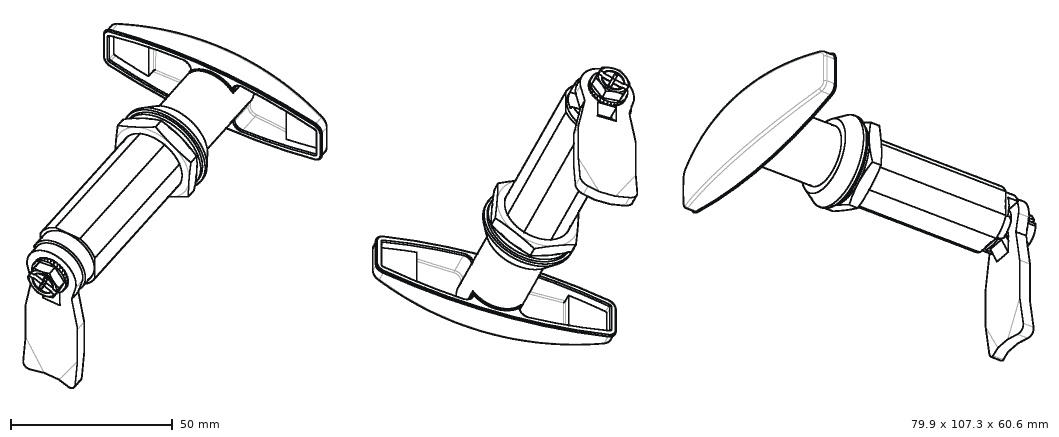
import cadquery as cq
import math

GRIP_LENGTH = 79.9
GRIP_MID_HALF_WIDTH = 11.9
GRIP_END_HALF_WIDTH = 7.3
GRIP_CORNER_RADIUS = 3.2
GRIP_RIM_Y = 27.5
GRIP_TOP_Y = 38.0
GRIP_END_HEIGHT = 4.2
GRIP_TOP_FILLET = 0.9
LIP_HEIGHT = 0.6
LIP_OVERHANG = 0.3
LIP_CHAMFER = 0.4

WALL = 2.0
ROOF = 1.7
RIM_CHAMFER = 0.4
FLOOR_FILLET = 0.5
HUB_HALF_LENGTH = 8.0
HOLLOW_INNER_RADIUS = 2.7
HOLLOW_OUTER_RADIUS = 0.6
SHALLOW_START_X = 25.2
SHALLOW_DEPTH = 3.0

SHAFT_RADIUS = 10.0
COLLAR_RADIUS = 10.3
COLLAR_HEIGHT = 0.5
SPINDLE_RADIUS = 4.8

FLANGE_TOP_RADIUS = 12.2
FLANGE_RADIUS = 15.1
FLANGE_HEIGHT = 5.9
FLANGE_EDGE = 1.1
BARREL_RADIUS = 10.9
BARREL_FLAT = 10.0
BARREL_END_Y = -55.0
STOP_RING_RADIUS = 9.8
STOP_FLOOR_Y = -56.3
STOP_LUG_Y = -57.9
STOP_RING_END_Y = -60.1
STOP_GAP_EDGE = 3.2
STOP_LUG_EDGE = 3.6
STOP_LUG_CHAMFER = 1.0

GASKET_RADIUS = 14.2
GASKET_THICKNESS = 1.1
NUT_ACROSS_FLATS = 26.9
NUT_TOP_Y = -2.1
NUT_THICKNESS = 4.5
NUT_TOP_CHAMFER = 0.9
NUT_BOTTOM_CHAMFER = 0.4
NUT_TURN = 26.6

CAM_BACK_Y = -60.4
CAM_THICKNESS = 3.9
CAM_HEAD_RADIUS = 9.0
CAM_HEAD_END_Z = -1.0
CAM_NECK_HALF_WIDTH = 7.4
CAM_NECK_Z = -7.1
CAM_HALF_WIDTH = 9.5
CAM_SHOULDER_Z = -19.0
CAM_TIP_Z = -45.1
CAM_CORNER_RADIUS = 2.7
BEND_START_Z = -33.0
BEND_HALF_WIDTH = 2.7
BEND_ANGLE = 16.0
TAB_HALF_WIDTH = 3.1
TAB_TOP_Z = -6.2
TAB_BOTTOM_Z = -12.2
TAB_REACH = 2.5
TAB_WALL = 1.3

SCREW_RADIUS = 3.0
SCREW_DEPTH = 12.9
SCREW_FLANGE_RADIUS = 6.2
SCREW_FLANGE_THICKNESS = 1.5
SCREW_HEAD_RADIUS = 5.8
SCREW_HEAD_HEIGHT = 3.5
SCREW_HEAD_TURN = 7.0
SCREW_HEAD_CHAMFER = 0.4
DISH_RADIUS = 3.8
DISH_DEPTH = 0.3
SLOT_WIDTH = 1.9
SLOT_DEPTH = 2.1
SLOT_TURN = 160.0
CROSS_WIDTH = 1.0
CROSS_LENGTH = 6.0
TOOTH_COUNT = 32
TOOTH_DEPTH = 0.8
TOOTH_WIDTH = 0.5
TOOTH_INNER_RADIUS = 5.2

CAM_FRONT_Y = CAM_BACK_Y - CAM_THICKNESS


def section(y):
    """Sketch plane across the axis at height y, with local x = X, local y = Z, normal = -Y."""
    return cq.Workplane("XZ", origin=(0, y, 0))


def cylinder(radius, y_start, y_end):
    """Cylinder on the axis, from y_start down to y_end."""
    return section(y_start).circle(radius).extrude(y_start - y_end)


def polar(radius, degrees):
    angle = math.radians(degrees)
    return (radius * math.cos(angle), radius * math.sin(angle))


def hexagon(corner_radius, turn, y_start, height):
    corners = [polar(corner_radius, turn + 60 * i) for i in range(6)]
    return section(y_start).polyline(corners).close().extrude(height)


def revolve_profile(points):
    """Revolve a closed (radius, y) outline about the Y axis."""
    return cq.Workplane("XY").polyline(points).close().revolve(360, (0, 0, 0), (0, 1, 0))



def grip_outline(plane, offset):
    """Barrel-shaped outline of the grip, moved inward by offset."""
    end = GRIP_LENGTH / 2 - offset
    mid = GRIP_MID_HALF_WIDTH - offset
    corner = GRIP_END_HALF_WIDTH - offset
    return (
        plane.moveTo(-end, -corner)
        .threePointArc((0, -mid), (end, -corner))
        .lineTo(end, corner)
        .threePointArc((0, mid), (-end, corner))
        .close()
    )


def grip_dome(inset):
    """Ball whose upper surface is the domed top of the grip, moved down by inset."""
    rise = GRIP_TOP_Y - GRIP_RIM_Y - GRIP_END_HEIGHT
    radius = ((GRIP_LENGTH / 2) ** 2 + rise ** 2) / (2 * rise)
    return cq.Workplane("XY").sphere(radius - inset).translate((0, GRIP_TOP_Y - radius, 0))


def hollow_blank(height):
    """Two rounded prisms, one each side of the hub, standing on the rim plane."""
    blank = grip_outline(section(GRIP_RIM_Y), WALL).extrude(-height)
    hub = section(GRIP_RIM_Y).rect(2 * HUB_HALF_LENGTH, 2 * GRIP_MID_HALF_WIDTH).extrude(-height)
    blank = blank.cut(hub)
    near_hub = HUB_HALF_LENGTH + WALL
    hub_zone = cq.selectors.BoxSelector(
        (-near_hub, 0, -GRIP_LENGTH), (near_hub, GRIP_LENGTH, GRIP_LENGTH))
    blank = blank.edges("|Y").edges(hub_zone).fillet(HOLLOW_INNER_RADIUS)
    return blank.edges("|Y").edges("<X or >X").fillet(HOLLOW_OUTER_RADIUS)


def grip_prism(offset, height):
    prism = grip_outline(section(GRIP_RIM_Y), offset).extrude(-height)
    return prism.edges("|Y").fillet(GRIP_CORNER_RADIUS - offset)


def make_grip():
    height = GRIP_TOP_Y - GRIP_RIM_Y
    grip = grip_prism(LIP_OVERHANG, height).intersect(grip_dome(0))
    grip = grip.faces(">Y").edges().fillet(GRIP_TOP_FILLET)
    lip = grip_prism(0, LIP_HEIGHT).faces("<Y").edges().chamfer(LIP_CHAMFER)
    grip = grip.union(lip)
    deep_zone = section(GRIP_RIM_Y).rect(2 * SHALLOW_START_X, GRIP_LENGTH).extrude(-height)
    deep = hollow_blank(height).intersect(grip_dome(ROOF)).intersect(deep_zone)
    deep = deep.faces("%SPHERE").edges().fillet(FLOOR_FILLET)
    grip = grip.cut(deep).cut(hollow_blank(SHALLOW_DEPTH))
    rim_wires = sorted(grip.faces("<Y").wires().vals(), key=lambda wire: wire.Length())
    mouth_edges = [edge for wire in rim_wires[:-1] for edge in wire.Edges()]
    return grip.newObject(mouth_edges).chamfer(RIM_CHAMFER)


def make_handle():
    shaft = cylinder(SHAFT_RADIUS, GRIP_TOP_Y, FLANGE_HEIGHT).intersect(grip_dome(ROOF / 2))
    spindle = cylinder(SPINDLE_RADIUS, FLANGE_HEIGHT, CAM_BACK_Y)
    collar = cylinder(COLLAR_RADIUS, GRIP_RIM_Y, GRIP_RIM_Y - COLLAR_HEIGHT).intersect(
        section(GRIP_RIM_Y).rect(2 * HUB_HALF_LENGTH, 2 * COLLAR_RADIUS).extrude(COLLAR_HEIGHT))
    screw_hole = cylinder(SCREW_RADIUS, CAM_BACK_Y + SCREW_DEPTH, CAM_BACK_Y)
    return make_grip().union(shaft).union(collar).union(spindle).cut(screw_hole)



def quadrant(edge, y_floor):
    """Square prism reaching from x = z = edge toward -X and -Z, from y_floor to the ring end."""
    reach = 2 * STOP_RING_RADIUS
    return (
        section(y_floor).rect(reach, reach).extrude(y_floor - STOP_RING_END_Y)
        .translate((edge - reach / 2, 0, edge - reach / 2))
    )


def stop_gap():
    """Opening in the stop ring for the cam tab, with a low lug between its two end positions."""
    low = quadrant(-STOP_LUG_EDGE, STOP_FLOOR_Y)
    lug = low.cut(quadrant(-STOP_LUG_EDGE, STOP_LUG_Y))
    lug = lug.faces("<Y").edges(">X or >Z").chamfer(STOP_LUG_CHAMFER)
    return quadrant(STOP_GAP_EDGE, STOP_FLOOR_Y).cut(lug)


def make_housing():
    flange = revolve_profile([
        (0, FLANGE_HEIGHT), (FLANGE_TOP_RADIUS, FLANGE_HEIGHT),
        (FLANGE_RADIUS, FLANGE_EDGE), (FLANGE_RADIUS, 0), (0, 0)])
    flats = section(0).rect(2 * BARREL_FLAT, 2 * BARREL_FLAT).extrude(-BARREL_END_Y)
    barrel = cylinder(BARREL_RADIUS, 0, BARREL_END_Y).intersect(flats)
    housing = flange.union(barrel).union(cylinder(STOP_RING_RADIUS, BARREL_END_Y, STOP_RING_END_Y))
    return housing.cut(stop_gap()).cut(cylinder(SPINDLE_RADIUS, FLANGE_HEIGHT, STOP_RING_END_Y))



def make_gasket():
    return section(0).circle(GASKET_RADIUS).circle(BARREL_RADIUS).extrude(GASKET_THICKNESS)


def make_nut():
    corner = NUT_ACROSS_FLATS / math.sqrt(3)
    flat = NUT_ACROSS_FLATS / 2
    bottom = NUT_TOP_Y - NUT_THICKNESS
    cone = revolve_profile([
        (0, NUT_TOP_Y), (flat, NUT_TOP_Y), (corner, NUT_TOP_Y - NUT_TOP_CHAMFER),
        (corner, bottom + NUT_BOTTOM_CHAMFER), (flat, bottom), (0, bottom)])
    nut = hexagon(corner, NUT_TURN, NUT_TOP_Y, NUT_THICKNESS).intersect(cone)
    return nut.cut(cylinder(BARREL_RADIUS, NUT_TOP_Y, bottom))



def cam_outline(y, thickness):
    head_x = math.sqrt(CAM_HEAD_RADIUS ** 2 - CAM_HEAD_END_Z ** 2)
    plate = (
        section(y).moveTo(-head_x, CAM_HEAD_END_Z)
        .threePointArc((0, CAM_HEAD_RADIUS), (head_x, CAM_HEAD_END_Z))
        .lineTo(CAM_NECK_HALF_WIDTH, CAM_NECK_Z)
        .lineTo(CAM_HALF_WIDTH, CAM_SHOULDER_Z)
        .lineTo(CAM_HALF_WIDTH, CAM_TIP_Z)
        .lineTo(-CAM_HALF_WIDTH, CAM_TIP_Z)
        .lineTo(-CAM_HALF_WIDTH, CAM_SHOULDER_Z)
        .lineTo(-CAM_NECK_HALF_WIDTH, CAM_NECK_Z)
        .close().extrude(thickness)
    )
    return plate.edges("|Y").edges("<Z").fillet(CAM_CORNER_RADIUS)


def bend_corner(cam, side):
    """Bend one lower corner of the cam forward (-Y) about its slanted bend line."""
    edge_end = cq.Vector(side * CAM_HALF_WIDTH, CAM_BACK_Y, BEND_START_Z)
    tip_end = cq.Vector(side * BEND_HALF_WIDTH, CAM_BACK_Y, CAM_TIP_Z)
    along = (tip_end - edge_end).normalized()
    outward = along.cross(cq.Vector(0, side, 0))
    plane = cq.Plane(origin=edge_end.toTuple(), xDir=outward.toTuple(), normal=along.toTuple())
    forward = 1 if plane.yDir.y < 0 else -1
    reach = 2 * CAM_HALF_WIDTH
    rise = reach * math.tan(math.radians(BEND_ANGLE))

    def slab(end_rise):
        front = forward * CAM_THICKNESS
        end = forward * end_rise
        return (
            cq.Workplane(plane).workplane(offset=-reach)
            .polyline([(0, 0), (reach, end), (reach, end + front), (0, front)])
            .close().extrude(3 * reach)
        )

    bent = slab(rise).intersect(cam_outline(CAM_BACK_Y, CAM_THICKNESS + rise))
    return cam.cut(slab(0)).union(bent)


def tab_prism(points):
    """Prism across the tab, from a (y, z) outline."""
    return cq.Workplane("YZ").polyline(points).close().extrude(TAB_HALF_WIDTH, both=True)


def make_cam():
    cam = cam_outline(CAM_BACK_Y, CAM_THICKNESS)
    for side in (-1, 1):
        cam = bend_corner(cam, side)
    tab_y = CAM_BACK_Y + TAB_REACH
    tab = tab_prism([
        (CAM_FRONT_Y, TAB_TOP_Z + TAB_WALL), (tab_y, TAB_TOP_Z + TAB_WALL),
        (tab_y, TAB_BOTTOM_Z + TAB_REACH + TAB_WALL), (CAM_BACK_Y, TAB_BOTTOM_Z),
        (CAM_FRONT_Y, TAB_BOTTOM_Z)])
    pocket = tab_prism([
        (CAM_FRONT_Y, TAB_TOP_Z), (tab_y - TAB_WALL, TAB_TOP_Z), (CAM_FRONT_Y, TAB_BOTTOM_Z)])
    return cam.union(tab).cut(pocket).cut(cylinder(SCREW_RADIUS, CAM_BACK_Y, CAM_FRONT_Y))



def make_toothed_flange(head_y):
    """Screw flange with saw-tooth grooves in the face that bites into the cam."""
    flange = cylinder(SCREW_FLANGE_RADIUS, CAM_FRONT_Y, head_y)
    half = TOOTH_WIDTH / 2
    groove = (
        cq.Workplane("XY")
        .polyline([(-half, CAM_FRONT_Y), (half, CAM_FRONT_Y), (half, CAM_FRONT_Y - TOOTH_DEPTH)])
        .close().extrude(2 * SCREW_FLANGE_RADIUS)
        .cut(cylinder(TOOTH_INNER_RADIUS, CAM_FRONT_Y, head_y))
    )
    for i in range(TOOTH_COUNT):
        flange = flange.cut(groove.rotate((0, 0, 0), (0, 1, 0), 360 * i / TOOTH_COUNT))
    return flange


def make_screw_head(head_y):
    """Hexagon head with a dished face, a through slot and a shorter cross slot."""
    end_y = head_y - SCREW_HEAD_HEIGHT
    flat = SCREW_HEAD_RADIUS * math.cos(math.radians(30))
    cone = revolve_profile([
        (0, head_y), (SCREW_HEAD_RADIUS, head_y), (SCREW_HEAD_RADIUS, end_y + SCREW_HEAD_CHAMFER),
        (flat, end_y), (0, end_y)])
    head = hexagon(SCREW_HEAD_RADIUS, SCREW_HEAD_TURN, head_y, SCREW_HEAD_HEIGHT).intersect(cone)
    dish = cylinder(DISH_RADIUS, end_y + DISH_DEPTH, end_y)
    slot_floor = section(end_y + SLOT_DEPTH)
    slot = slot_floor.rect(3 * SCREW_HEAD_RADIUS, SLOT_WIDTH).extrude(SLOT_DEPTH)
    cross = slot_floor.rect(CROSS_WIDTH, CROSS_LENGTH).extrude(SLOT_DEPTH)
    drive = slot.union(cross).rotate((0, 0, 0), (0, -1, 0), SLOT_TURN)
    return head.cut(dish).cut(drive)


def make_screw():
    head_y = CAM_FRONT_Y - SCREW_FLANGE_THICKNESS
    shank = cylinder(SCREW_RADIUS, CAM_BACK_Y + SCREW_DEPTH, CAM_FRONT_Y)
    return shank.union(make_toothed_flange(head_y)).union(make_screw_head(head_y))


handle = make_handle()
housing = make_housing()
gasket = make_gasket()
nut = make_nut()
cam = make_cam()
screw = make_screw()

result = cq.Compound.makeCompound(
    [handle.val(), housing.val(), gasket.val(), nut.val(), cam.val(), screw.val()])